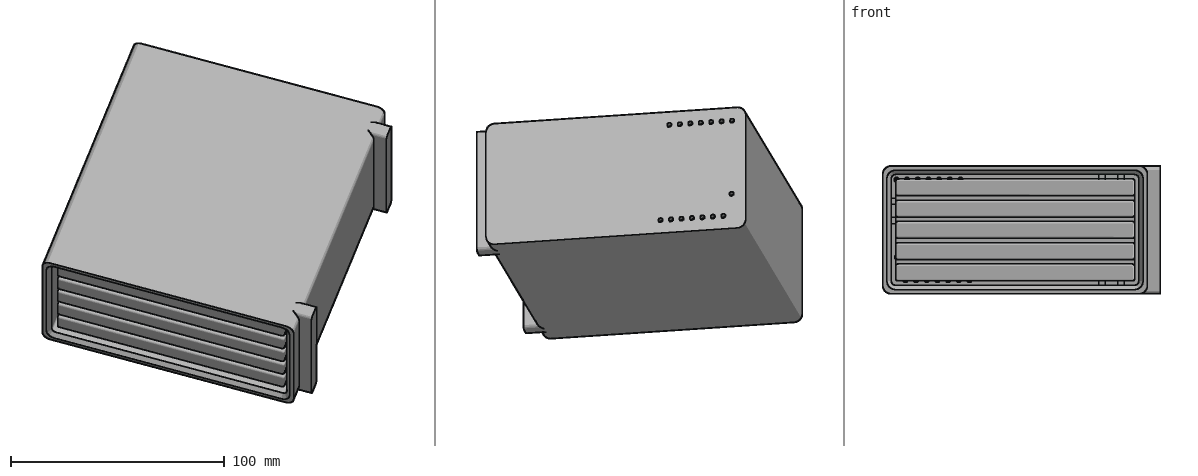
import cadquery as cq


case_depth = 135.0
case_height = 60.0
overall_width = 130.0
rail_reach = 6.1
case_width = overall_width - rail_reach
case_corner_radius = 4.0
wall = 4.0
cavity_corner_radius = 2.0
mouth_chamfer = 2.0

rail_width = 8.0
rail_edge_radius = 2.0
rail_end_offset = 12.0

vent_diameter = 2.0
vent_pitch = 5.0
vents_per_row = 7
vent_row_inset = 6.5
top_row_start = 6.5
bottom_row_start = 10.7
lone_vent_x = 6.8
lone_vent_z = 17.1

spacer_base_width = 12.0
spacer_ridge_width = 6.0
spacer_step = 2.0
spacer_upright_x = 107.0
spacer_arm_z = 38.9

core_clearance = 2.0
core_width = 111.9
core_setback = 3.4
fin_count = 5
fin_gap = 2.0
fin_depth = 4.0
fin_edge_radius = 1.1

cavity_height = case_height - 2 * wall
back_wall_face = case_depth - wall
core_left = wall + core_clearance
core_bottom = wall + core_clearance
core_height = case_height - 2 * core_bottom
core_back = back_wall_face - 2 * spacer_step
fin_height = (core_height - (fin_count - 1) * fin_gap) / fin_count
fin_pitch = fin_height + fin_gap


def block(x, y, z, width, depth, height):
    """Box whose lowest corner is at (x, y, z)."""
    return cq.Workplane("XY").box(width, depth, height, centered=False).translate((x, y, z))


def make_rail(center_y):
    """Upright rail across the full height, rounded along the edges that run in X."""
    root_x = case_width - case_corner_radius
    rail = block(
        root_x, center_y - rail_width / 2, 0,
        case_corner_radius + rail_reach, rail_width, case_height,
    )
    return rail.edges("|X").fillet(rail_edge_radius)


def vent_row(start_x, row_z):
    """Centres of one row of vents."""
    return [(start_x + i * vent_pitch, row_z) for i in range(vents_per_row)]


def make_vents():
    """Cutters through the back wall: a row along the top, one along the bottom and a lone vent."""
    centers = vent_row(top_row_start, case_height - vent_row_inset)
    centers += vent_row(bottom_row_start, vent_row_inset)
    centers.append((lone_vent_x, lone_vent_z))
    return (
        cq.Workplane("XZ", origin=(0, case_depth, 0))
        .pushPoints(centers)
        .circle(vent_diameter / 2)
        .extrude(wall)
    )


def make_housing():
    """Box open at the front, with a chamfered mouth, two rails and vents in the back wall."""
    shell = block(0, 0, 0, case_width, case_depth, case_height)
    shell = shell.edges("|Y").fillet(case_corner_radius)
    for center_y in (rail_end_offset, case_depth - rail_end_offset):
        shell = shell.union(make_rail(center_y))
    cavity = block(wall, 0, wall, case_width - 2 * wall, back_wall_face, cavity_height)
    cavity = cavity.edges("|Y").fillet(cavity_corner_radius)
    mouth = (
        cavity.faces("<Y").wires().toPending()
        .workplane(origin=(0, 0, 0))
        .offset2D(mouth_chamfer)
        .extrude(-mouth_chamfer, taper=45)
    )
    return shell.cut(cavity).cut(mouth).cut(make_vents())


def make_spacer_layer(width, front_y):
    """One layer of the tee: an upright bar and an arm reaching the -X wall."""
    upright = block(
        spacer_upright_x - width / 2, front_y, wall,
        width, spacer_step, cavity_height,
    )
    arm = block(
        wall, front_y, spacer_arm_z - width / 2,
        spacer_upright_x - wall, spacer_step, width,
    )
    return upright.union(arm)


def make_spacer():
    """Sideways tee with a wide base on the back wall and a narrower ridge against the core."""
    base = make_spacer_layer(spacer_base_width, back_wall_face - spacer_step)
    ridge = make_spacer_layer(spacer_ridge_width, core_back)
    return base.union(ridge)


def make_fin(bottom_z):
    """One horizontal fin, rounded on its front edges and along its depth."""
    fin = block(core_left, core_setback, bottom_z, core_width, fin_depth, fin_height)
    return fin.edges("|Y or <Y").fillet(fin_edge_radius)


def make_core():
    """Block with rounded corners that carries the row of fins on its front."""
    body_front = core_setback + fin_depth
    core = block(
        core_left, body_front, core_bottom,
        core_width, core_back - body_front, core_height,
    )
    core = core.edges("|Y").fillet(fin_edge_radius)
    for i in range(fin_count):
        core = core.union(make_fin(core_bottom + i * fin_pitch))
    return core


housing = make_housing()
spacer = make_spacer()
core = make_core()

result = cq.Compound.makeCompound([housing.val(), spacer.val(), core.val()])